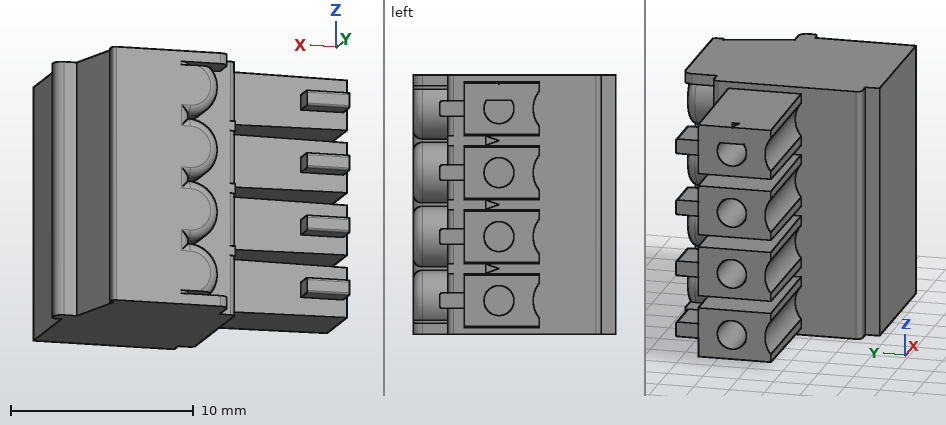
import cadquery as cq


LENGTH = 16.1
DEPTH = 11.1
HEIGHT = 14.2
POLES = 4
PITCH = 3.5
POLE_LEVELS = [(i - (POLES - 1) / 2) * PITCH for i in range(POLES)]
GAP_LEVELS = [(low + high) / 2 for low, high in zip(POLE_LEVELS, POLE_LEVELS[1:])]

FACE_X = 6.6
SHOULDER_X = 7.5
FACE_FRONT_Y = 0.8
FACE_BACK_Y = 9.2
BACK_WALL_X = 15.5
LEDGE_X = 14.1
LEDGE_Y = 10.5
SLOPE_TOP_X = 13.9
SLOPE_BOTTOM_X = 14.9
LIP_FRONT_Y = 5.7
LIP_BACK_Y = 6.7
LIP_FRONT_RADIUS = 0.3
LIP_BACK_RADIUS = 0.45
LEDGE_RADIUS = 0.2
REAR_RADIUS = 0.5
FACE_RADIUS = 0.3
RIB_WIDTH = 0.54

END_WALL = 0.6
BUTTON_GAP = 0.18
BUTTON_RADIUS = (PITCH - BUTTON_GAP) / 2
BUTTON_FRONT_X = 8.05
RECESS_FLOOR_X = BUTTON_FRONT_X + BUTTON_RADIUS
BUTTON_ROOT = 1.0

SLEEVE_FRONT_Y = 4.2
SLEEVE_BACK_Y = 8.3
SLEEVE_TIP_HEIGHT = 2.8
SLEEVE_ROOT_HEIGHT = 2.95
BORE_Y = 6.4
BORE_RADIUS = 0.82
BORE_FLAT = 0.47
GROOVE_HALF_WIDTH = 0.95
GROOVE_DEPTH = 0.33

KEY_START_X = 0.23
KEY_END_X = 2.63
KEY_BACK_Y = 9.63
KEY_HEIGHT = 0.84
KEY_RADIUS = 0.12

MARK_DEPTH = 0.07
TIP_MARK_START_X = 0.05
TIP_MARK_END_X = 0.8
TIP_MARK_HALF_WIDTH = 0.2
GAP_MARK_BASE_Y = 7.13
GAP_MARK_HALF_WIDTH = 0.26


def box(x0, x1, y0, y1, z0, z1):
    return cq.Workplane("XY").box(x1 - x0, y1 - y0, z1 - z0, centered=False).translate((x0, y0, z0))


def vertical_edge(x, y):
    """Selector for the upright edge passing through (x, y)."""
    reach = 0.05
    return cq.selectors.BoxSelector(
        (x - reach, y - reach, -HEIGHT), (x + reach, y + reach, HEIGHT)
    )


def make_housing():
    outline = [
        (SHOULDER_X, 0),
        (BACK_WALL_X, 0),
        (BACK_WALL_X, LIP_FRONT_Y),
        (LENGTH, LIP_FRONT_Y),
        (LENGTH, LIP_BACK_Y),
        (SLOPE_BOTTOM_X, LIP_BACK_Y),
        (SLOPE_TOP_X, LEDGE_Y),
        (LEDGE_X, LEDGE_Y),
        (LEDGE_X, DEPTH),
        (SHOULDER_X, DEPTH),
        (SHOULDER_X, FACE_BACK_Y),
        (FACE_X, FACE_BACK_Y),
        (FACE_X, FACE_FRONT_Y),
        (SHOULDER_X, FACE_FRONT_Y),
    ]
    rounded_corners = [
        (LENGTH, LIP_FRONT_Y, LIP_FRONT_RADIUS),
        (LENGTH, LIP_BACK_Y, LIP_BACK_RADIUS),
        (LEDGE_X, DEPTH, LEDGE_RADIUS),
        (SHOULDER_X, DEPTH, REAR_RADIUS),
        (FACE_X, FACE_FRONT_Y, FACE_RADIUS),
        (FACE_X, FACE_BACK_Y, FACE_RADIUS),
    ]
    housing = cq.Workplane("XY").polyline(outline).close().extrude(HEIGHT / 2, both=True)
    for x, y, radius in rounded_corners:
        housing = housing.edges("|Z").edges(vertical_edge(x, y)).fillet(radius)
    return housing


def make_face_ribs():
    """Short square corners that interrupt the rounded rear mating edge."""
    ribs = cq.Workplane("XY")
    for z in GAP_LEVELS:
        ribs = ribs.union(box(
            FACE_X, FACE_X + FACE_RADIUS,
            FACE_BACK_Y - FACE_RADIUS, FACE_BACK_Y,
            z - RIB_WIDTH / 2, z + RIB_WIDTH / 2,
        ))
    return ribs


def make_recess():
    """Space between the end walls, with a rounded rear edge left on its floor."""
    half_height = HEIGHT / 2 - END_WALL
    return (
        cq.Workplane("XY")
        .moveTo(SHOULDER_X - REAR_RADIUS, FACE_BACK_Y)
        .lineTo(RECESS_FLOOR_X, FACE_BACK_Y)
        .lineTo(RECESS_FLOOR_X, DEPTH - REAR_RADIUS)
        .radiusArc((RECESS_FLOOR_X + REAR_RADIUS, DEPTH), REAR_RADIUS)
        .lineTo(SHOULDER_X - REAR_RADIUS, DEPTH)
        .close()
        .extrude(half_height, both=True)
    )


def make_button(z):
    """Half-round button; the outer ones are cut flat beside the end walls."""
    center_x = BUTTON_FRONT_X + BUTTON_RADIUS
    limit = HEIGHT / 2 - END_WALL - BUTTON_GAP
    blank = (
        cq.Workplane("XZ", origin=(center_x, DEPTH, z))
        .moveTo(BUTTON_ROOT, BUTTON_RADIUS)
        .lineTo(0, BUTTON_RADIUS)
        .threePointArc((-BUTTON_RADIUS, 0), (0, -BUTTON_RADIUS))
        .lineTo(BUTTON_ROOT, -BUTTON_RADIUS)
        .close()
        .extrude(DEPTH - FACE_BACK_Y)
    )
    blank = blank.faces(">Y").edges("not(>X)").fillet(REAR_RADIUS)
    return blank.intersect(box(0, LENGTH, 0, DEPTH, -limit, limit))


def make_sleeve(z):
    """Tapered sleeve with a hollow front side and a coding key at the back."""
    tip = SLEEVE_TIP_HEIGHT / 2
    root = SLEEVE_ROOT_HEIGHT / 2
    sleeve = (
        cq.Workplane("XZ", origin=(0, SLEEVE_BACK_Y, z))
        .polyline([(0, -tip), (FACE_X, -root), (FACE_X, root), (0, tip)])
        .close()
        .extrude(SLEEVE_BACK_Y - SLEEVE_FRONT_Y)
    )
    groove = (
        cq.Workplane("YZ", origin=(0, SLEEVE_FRONT_Y, z))
        .moveTo(0, -GROOVE_HALF_WIDTH)
        .threePointArc((GROOVE_DEPTH, 0), (0, GROOVE_HALF_WIDTH))
        .close()
        .extrude(FACE_X)
    )
    key = box(
        KEY_START_X, KEY_END_X, SLEEVE_BACK_Y, KEY_BACK_Y,
        z - KEY_HEIGHT / 2, z + KEY_HEIGHT / 2,
    )
    key = key.faces(">Y").edges("|X").fillet(KEY_RADIUS)
    return sleeve.cut(groove).union(key)


def make_bore(z):
    bore = cq.Workplane("YZ", origin=(0, BORE_Y, z)).circle(BORE_RADIUS).extrude(FACE_X)
    if z == POLE_LEVELS[-1]:
        bore = bore.cut(box(0, FACE_X, 0, DEPTH, z + BORE_FLAT, z + BORE_RADIUS))
    return bore


def make_tip_mark():
    """Triangle engraved in the top of the uppermost sleeve."""
    top_z = POLE_LEVELS[-1] + SLEEVE_TIP_HEIGHT / 2
    return (
        cq.Workplane("XY", origin=(0, BORE_Y, top_z - MARK_DEPTH))
        .polyline([
            (TIP_MARK_START_X, 0),
            (TIP_MARK_END_X, TIP_MARK_HALF_WIDTH),
            (TIP_MARK_END_X, -TIP_MARK_HALF_WIDTH),
        ])
        .close()
        .extrude(2 * MARK_DEPTH)
    )


def make_gap_mark(z):
    """Triangle engraved in the mating face between two sleeves."""
    return (
        cq.Workplane("YZ", origin=(FACE_X, 0, z))
        .polyline([
            (BORE_Y, 0),
            (GAP_MARK_BASE_Y, GAP_MARK_HALF_WIDTH),
            (GAP_MARK_BASE_Y, -GAP_MARK_HALF_WIDTH),
        ])
        .close()
        .extrude(MARK_DEPTH)
    )


result = make_housing().union(make_face_ribs()).cut(make_recess())
for level in POLE_LEVELS:
    result = result.union(make_button(level)).union(make_sleeve(level)).cut(make_bore(level))
for level in GAP_LEVELS:
    result = result.cut(make_gap_mark(level))
result = result.cut(make_tip_mark())